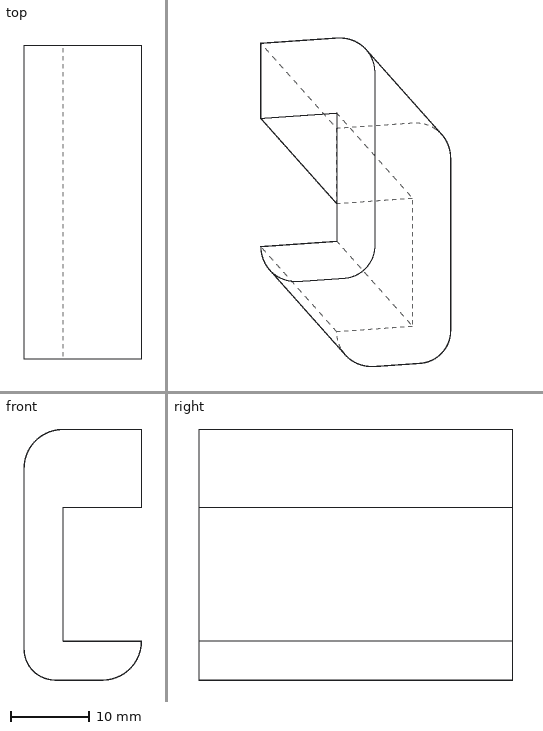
import cadquery as cq
import math

depth = 15.0
length = 40.0
height = 32.0
web_thickness = 5.0
top_arm_height = 10.0
bottom_arm_height = 5.0

top_back_radius = 5.0
bottom_back_radius = 4.0
lip_radius = bottom_arm_height

back_x = -depth / 2
front_x = depth / 2
bottom_z = -height / 2
top_z = height / 2

slot_back_x = back_x + web_thickness
slot_bottom_z = bottom_z + bottom_arm_height
slot_top_z = top_z - top_arm_height


def arc_middle(corner_x, corner_z, radius):
    """Middle point of the quarter arc that rounds an outer corner."""
    inset = radius * (1 - math.sqrt(0.5))
    x = corner_x - math.copysign(inset, corner_x)
    z = corner_z - math.copysign(inset, corner_z)
    return x, z


def make_profile():
    """C-shaped section in the XZ plane."""
    return (
        cq.Workplane("XZ")
        .moveTo(back_x + bottom_back_radius, bottom_z)
        .lineTo(front_x - lip_radius, bottom_z)
        .threePointArc(arc_middle(front_x, bottom_z, lip_radius), (front_x, slot_bottom_z))
        .lineTo(slot_back_x, slot_bottom_z)
        .lineTo(slot_back_x, slot_top_z)
        .lineTo(front_x, slot_top_z)
        .lineTo(front_x, top_z)
        .lineTo(back_x + top_back_radius, top_z)
        .threePointArc(arc_middle(back_x, top_z, top_back_radius), (back_x, top_z - top_back_radius))
        .lineTo(back_x, bottom_z + bottom_back_radius)
        .threePointArc(
            arc_middle(back_x, bottom_z, bottom_back_radius),
            (back_x + bottom_back_radius, bottom_z),
        )
        .close()
    )


result = make_profile().extrude(length / 2, both=True)